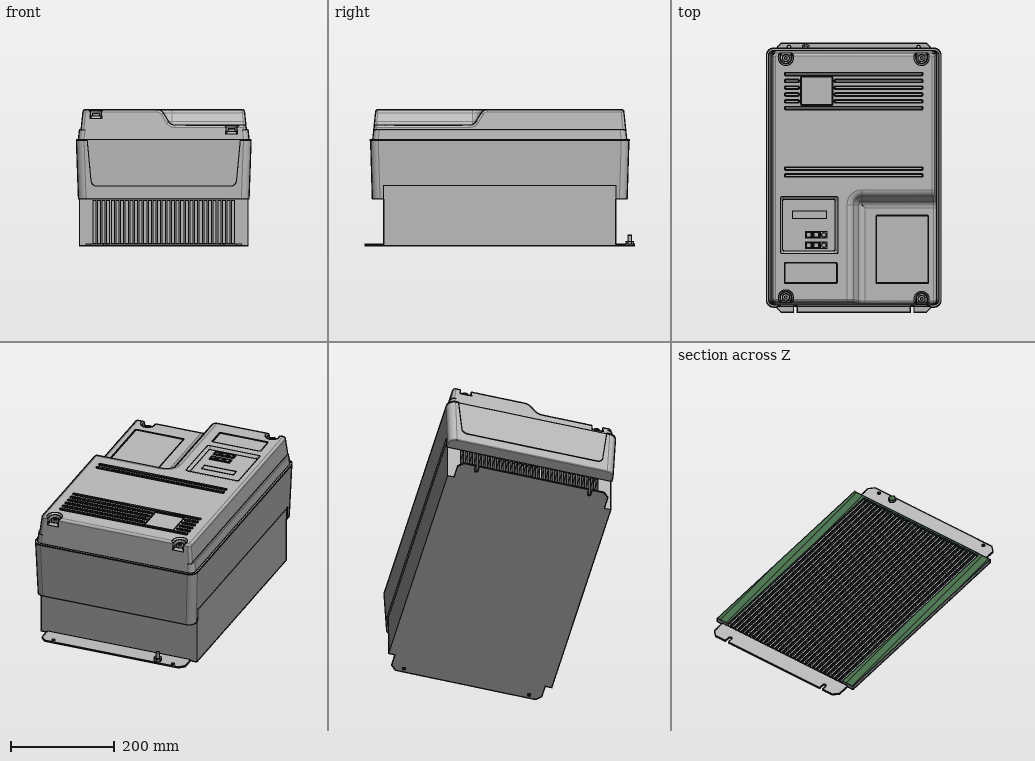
import cadquery as cq
import math


PLATE_LENGTH = 520.0
PLATE_WIDTH = 300.0
PLATE_THICKNESS = 3.0
PLATE_CHAMFER = 10.0
MOUNT_SLOT_X = 112.8
MOUNT_SLOT_WIDTH = 7.0
MOUNT_SLOT_DEPTH = 14.0
MOUNT_HOLE_X = 125.0
MOUNT_HOLE_Y = 252.3
MOUNT_HOLE_DIAMETER = 6.0
STUD_X = -92.7
STUD_Y = 251.0
STUD_DIAMETER = 7.0
STUD_TOP = 20.5
STUD_NUT_FLATS = 13.0
STUD_NUT_HEIGHT = 5.5

SINK_WIDTH = 326.0
SINK_LENGTH = 448.0
SINK_TOP = 116.5
FIN_SLOT_COUNT = 31
FIN_SLOT_WIDTH = 5.9
FIN_SLOT_SPAN = 274.0
FIN_SLOT_BOTTOM = 4.5
FIN_SLOT_TOP = 87.3
FIN_SLOT_END_WALL = 5.0

BASE_BOTTOM = 90.0
BASE_TOP = 205.0
BASE_BOTTOM_SIZE = (329.8, 492.3)
BASE_TOP_SIZE = (337.91, 499.4)
BASE_CORNER_RADIUS = 15.0
BASE_BOTTOM_FILLET = 1.5
RIM_SIZE = (BASE_TOP_SIZE[0], 501.0)
RIM_HEIGHT = 1.5
END_PANEL_TOP_WIDTH = 296.0
END_PANEL_BOTTOM_WIDTH = 279.0
END_PANEL_BOTTOM = 115.0
END_PANEL_RADIUS = 12.0
END_PANEL_DEPTH = 1.0

TOTAL_HEIGHT = 263.0
STEP_Z = 225.0
DRAFT = 6.0
COVER_WIDTH = 330.0
COVER_LENGTH = 491.0
STEP_LEDGE = 3.2
STEP_FILLET = 1.5
LOWER_COVER_RADIUS = 11.0
UPPER_COVER_RADIUS = 5.5
COVER_EDGE_FILLET = 5.0

SUNKEN_DROP = 30.0
SUNKEN_EDGE_X = -13.0
SUNKEN_EDGE_Y = -23.5
SUNKEN_CORNER_RADIUS = 29.0
SLOPE_RADIUS = 14.5
SLOPE_ANGLE = 58.0

VENT_HALF_LENGTH = 134.0
VENT_WIDTH = 6.8
VENT_DEPTH = 1.5
VENT_TAPER = 45.0
VENT_PITCH = 13.1
UPPER_VENT_Y = 199.9
UPPER_VENT_COUNT = 6
LOWER_VENT_Y = 17.6
LOWER_VENT_COUNT = 2
BADGE_BOX = (-102.4, 139.6, -40.5, 196.0)
BADGE_VENT_GAP = 2.6
LABEL_BOX = (-134.0, -204.3, -31.8, -163.7)
SUNKEN_LABEL_BOX = (42.6, -204.3, 144.6, -72.5)
LABEL_CORNER_RADIUS = 3.0
LABEL_DEPTH = 1.0
LABEL_TAPER = 55.0

KEYPAD_BOX = (-141.0, -146.7, -30.5, -36.3)
KEYPAD_FLOOR_BOX = (-137.2, -141.3, -36.3, -41.8)
KEYPAD_DEPTH = 5.0
KEYPAD_CORNER_RADIUS = 3.0
DISPLAY_BOX = (-118.7, -79.0, -52.5, -64.0)
DISPLAY_DEPTH = 0.5
KEY_COLUMNS_X = (-87.1, -72.4, -57.7)
KEY_ROWS_Y = (-110.5, -130.5)
KEY_SIZE = (13.0, 12.5)
KEY_HEIGHT = 1.0
KEY_CAP_SIZE = 8.5
KEY_CAP_HEIGHT = 1.0

SCREW_X = 131.0
SCREW_Y = 231.0
SCREW_SEAT_DEPTH = 12.0
NOTCH_RIM_RADIUS = 14.5
NOTCH_WALL_RADIUS = 11.3
NOTCH_SEAT_RADIUS = 10.3
CHUTE_OFFSET = 5.5
CHUTE_SEAT_WIDTH = 15.0
CHUTE_MOUTH_WIDTH = 24.0
CHUTE_DROP = 5.3
CHUTE_LENGTH = 5.0
CHUTE_HEADROOM = 2.7
SCREW_HEAD_DIAMETER = 14.0
SCREW_HEAD_HEIGHT = 5.0
SCREW_HEAD_FILLET = 1.2
SCREW_SOCKET_FLATS = 5.0
SCREW_SOCKET_DEPTH = 2.5

OVERCUT = 20.0
SUNKEN_Z = TOTAL_HEIGHT - SUNKEN_DROP


def draft_inset(height):
    """Inward shift of a drafted cover wall over the given height."""
    return height * math.tan(math.radians(DRAFT))


def rounded_outline(size, radius):
    return cq.Sketch().rect(*size).vertices().fillet(radius)


def rounded_block(bottom_size, top_size, z_bottom, z_top, radius):
    """Drafted block whose corner radius is the same at the bottom and the top."""
    bottom = rounded_outline(bottom_size, radius)
    top = rounded_outline(top_size, radius).moved(cq.Location((0, 0, z_top - z_bottom)))
    return cq.Workplane("XY", origin=(0, 0, z_bottom)).placeSketch(bottom, top).loft(ruled=True)


def box_between(x_min, x_max, y_min, y_max, z_min, z_max):
    size = (x_max - x_min, y_max - y_min, z_max - z_min)
    return cq.Workplane("XY", origin=(x_min, y_min, z_min)).box(*size, centered=False)


def box_centre(box):
    x_min, y_min, x_max, y_max = box
    return ((x_min + x_max) / 2, (y_min + y_max) / 2)


def box_size(box):
    x_min, y_min, x_max, y_max = box
    return (x_max - x_min, y_max - y_min)


def make_plate():
    plate = (
        cq.Workplane("XY")
        .rect(PLATE_WIDTH, PLATE_LENGTH)
        .extrude(PLATE_THICKNESS)
        .edges("|Z")
        .chamfer(PLATE_CHAMFER)
    )
    mount_slots = (
        cq.Workplane("XY", origin=(0, -PLATE_LENGTH / 2, 0))
        .pushPoints([(-MOUNT_SLOT_X, 0), (MOUNT_SLOT_X, 0)])
        .slot2D(2 * MOUNT_SLOT_DEPTH, MOUNT_SLOT_WIDTH, 90)
        .extrude(PLATE_THICKNESS)
    )
    mount_holes = (
        cq.Workplane("XY")
        .pushPoints([(-MOUNT_HOLE_X, MOUNT_HOLE_Y), (MOUNT_HOLE_X, MOUNT_HOLE_Y)])
        .circle(MOUNT_HOLE_DIAMETER / 2)
        .extrude(PLATE_THICKNESS)
    )
    return plate.cut(mount_slots).cut(mount_holes)


def make_earth_stud():
    base = cq.Workplane("XY", origin=(STUD_X, STUD_Y, PLATE_THICKNESS))
    nut = base.polygon(6, STUD_NUT_FLATS, circumscribed=True).extrude(STUD_NUT_HEIGHT)
    shank = base.circle(STUD_DIAMETER / 2).extrude(STUD_TOP - PLATE_THICKNESS)
    return nut.union(shank)


def make_heatsink():
    """Finned block; the air slots are open at the -Y end and closed by a wall at the +Y end."""
    block = cq.Workplane("XY").rect(SINK_WIDTH, SINK_LENGTH).extrude(SINK_TOP)
    pitch = (FIN_SLOT_SPAN - FIN_SLOT_WIDTH) / (FIN_SLOT_COUNT - 1)
    fin_slots = (
        cq.Workplane("XY", origin=(0, -FIN_SLOT_END_WALL, FIN_SLOT_BOTTOM))
        .rarray(pitch, 1, FIN_SLOT_COUNT, 1)
        .rect(FIN_SLOT_WIDTH, SINK_LENGTH)
        .extrude(FIN_SLOT_TOP - FIN_SLOT_BOTTOM)
    )
    return block.cut(fin_slots)


def make_end_panel_recess():
    """Recess cut into the -Y end of the base and its rim, its floor parallel to the drafted end wall."""
    lean = (BASE_TOP_SIZE[1] - BASE_BOTTOM_SIZE[1]) / 2
    wall_angle = math.degrees(math.atan2(lean, BASE_TOP - BASE_BOTTOM))
    wall = cq.Plane(origin=(0, -BASE_BOTTOM_SIZE[1] / 2, BASE_BOTTOM), xDir=(1, 0, 0), normal=(0, -1, 0))
    wall = wall.rotated((wall_angle, 0, 0))
    rim_overhang = RIM_SIZE[1] - BASE_TOP_SIZE[1]
    bottom = END_PANEL_BOTTOM - BASE_BOTTOM
    top = math.hypot(lean, BASE_TOP - BASE_BOTTOM) + END_PANEL_DEPTH
    corners = [
        (-END_PANEL_TOP_WIDTH / 2, top),
        (-END_PANEL_BOTTOM_WIDTH / 2, bottom),
        (END_PANEL_BOTTOM_WIDTH / 2, bottom),
        (END_PANEL_TOP_WIDTH / 2, top),
    ]
    slab = (
        cq.Workplane(wall)
        .workplane(offset=-END_PANEL_DEPTH)
        .polyline(corners)
        .close()
        .extrude(END_PANEL_DEPTH + rim_overhang)
    )
    lower_corners = slab.faces("<Z").edges("not |X")
    return lower_corners.fillet(END_PANEL_RADIUS)


def make_base():
    base = rounded_block(BASE_BOTTOM_SIZE, BASE_TOP_SIZE, BASE_BOTTOM, BASE_TOP, BASE_CORNER_RADIUS)
    base = base.faces("<Z").edges().fillet(BASE_BOTTOM_FILLET)
    base = base.cut(make_end_panel_recess())
    for side in (-1, 1):
        notch = cq.Workplane("XY", origin=(side * (SINK_WIDTH / 2 + OVERCUT / 2), 0, 0))
        base = base.cut(notch.rect(OVERCUT, SINK_LENGTH).extrude(SINK_TOP))
    rim = rounded_block(RIM_SIZE, RIM_SIZE, BASE_TOP - RIM_HEIGHT, BASE_TOP, BASE_CORNER_RADIUS)
    return base.union(rim.cut(make_end_panel_recess()))


def make_lower_cover():
    inset = draft_inset(STEP_Z - BASE_TOP)
    top_size = (COVER_WIDTH - 2 * inset, COVER_LENGTH - 2 * inset)
    cover = rounded_block((COVER_WIDTH, COVER_LENGTH), top_size, BASE_TOP, STEP_Z, LOWER_COVER_RADIUS)
    return cover.faces(">Z").edges().fillet(STEP_FILLET)


def arc_offset(angle):
    """Run and fall along a slope arc from its level end to the given angle."""
    return SLOPE_RADIUS * math.sin(angle), SLOPE_RADIUS * (1 - math.cos(angle))


def slope_run():
    """Horizontal distance across the S-shaped slope."""
    angle = math.radians(SLOPE_ANGLE)
    arc_run, arc_fall = arc_offset(angle)
    return 2 * arc_run + (SUNKEN_DROP - 2 * arc_fall) / math.tan(angle)


def slope_profile(plane, reach):
    """Closed region above the slope, from its crest at the plane origin out to the given reach."""
    steepest = math.radians(SLOPE_ANGLE)
    run = slope_run()
    toe_angle = math.asin(max(run - reach, 0) / SLOPE_RADIUS)

    def crest(angle):
        along, fall = arc_offset(angle)
        return (along, -fall)

    def toe(angle):
        along, rise = arc_offset(angle)
        return (run - along, rise - SUNKEN_DROP)

    profile = (
        cq.Workplane(plane)
        .threePointArc(crest(steepest / 2), crest(steepest))
        .lineTo(*toe(steepest))
        .threePointArc(toe((steepest + toe_angle) / 2), toe(toe_angle))
    )
    if reach > run:
        profile = profile.lineTo(reach, -SUNKEN_DROP)
    return profile.lineTo(reach, OVERCUT).lineTo(0, OVERCUT).close()


def make_sunken_cutter():
    """Space over the sunken corner: two straight slopes joined by a swept round corner."""
    reach_x = COVER_WIDTH / 2 - SUNKEN_EDGE_X
    reach_y = COVER_LENGTH / 2 + SUNKEN_EDGE_Y
    corner = (SUNKEN_EDGE_X, SUNKEN_EDGE_Y, TOTAL_HEIGHT)
    facing_front = cq.Plane(origin=corner, xDir=(1, 0, 0), normal=(0, -1, 0))
    facing_left = cq.Plane(origin=corner, xDir=(0, -1, 0), normal=(-1, 0, 0))
    west_slope = slope_profile(facing_front, reach_x).extrude(reach_y)
    north_slope = slope_profile(facing_left, reach_y).extrude(-reach_x)

    axis_x = SUNKEN_EDGE_X + SUNKEN_CORNER_RADIUS
    axis_y = SUNKEN_EDGE_Y - SUNKEN_CORNER_RADIUS
    corner_block = box_between(
        SUNKEN_EDGE_X, axis_x, axis_y, SUNKEN_EDGE_Y, SUNKEN_Z - OVERCUT, TOTAL_HEIGHT + OVERCUT
    )
    sweep_start = cq.Plane(origin=(SUNKEN_EDGE_X, axis_y, TOTAL_HEIGHT), xDir=(1, 0, 0), normal=(0, -1, 0))
    round_corner = slope_profile(sweep_start, SUNKEN_CORNER_RADIUS).revolve(
        90, (SUNKEN_CORNER_RADIUS, 1), (SUNKEN_CORNER_RADIUS, 0)
    )
    return west_slope.intersect(north_slope).cut(corner_block).union(round_corner)


def cover_top_edges(cover):
    """Outer edges of the cover's top surfaces, leaving out its bottom and upright corner edges."""
    edges = []
    for edge in cover.edges().vals():
        centre = edge.Center()
        inset = STEP_LEDGE + draft_inset(centre.z - BASE_TOP)
        at_side = abs(centre.x) > COVER_WIDTH / 2 - inset - UPPER_COVER_RADIUS / 2
        at_end = abs(centre.y) > COVER_LENGTH / 2 - inset + STEP_LEDGE - UPPER_COVER_RADIUS / 2
        above_step = edge.BoundingBox().zmin > STEP_Z
        if above_step and (at_side or at_end):
            edges.append(edge)
    return edges


def make_upper_cover():
    """Upper cover, reaching down past the rounded step so that its ends stay flush with the lower cover."""
    bottom_z = STEP_Z - STEP_FILLET
    low = draft_inset(bottom_z - BASE_TOP)
    high = draft_inset(TOTAL_HEIGHT - BASE_TOP)
    bottom_size = (COVER_WIDTH - 2 * (STEP_LEDGE + low), COVER_LENGTH - 2 * low)
    top_size = (COVER_WIDTH - 2 * (STEP_LEDGE + high), COVER_LENGTH - 2 * high)
    cover = rounded_block(bottom_size, top_size, bottom_z, TOTAL_HEIGHT, UPPER_COVER_RADIUS)
    cover = cover.cut(make_sunken_cutter())
    return cover.newObject(cover_top_edges(cover)).fillet(COVER_EDGE_FILLET)


def make_vents():
    """Tapered round-ended grooves; those beside the badge are interrupted by it."""
    badge_left = BADGE_BOX[0] - BADGE_VENT_GAP
    badge_right = BADGE_BOX[2] + BADGE_VENT_GAP
    full = [(-VENT_HALF_LENGTH, VENT_HALF_LENGTH)]
    split = [(-VENT_HALF_LENGTH, badge_left), (badge_right, VENT_HALF_LENGTH)]
    rows = []
    for index in range(UPPER_VENT_COUNT):
        beside_badge = 0 < index < UPPER_VENT_COUNT - 1
        rows.append((UPPER_VENT_Y - index * VENT_PITCH, split if beside_badge else full))
    for index in range(LOWER_VENT_COUNT):
        rows.append((LOWER_VENT_Y - index * VENT_PITCH, full))

    vents = cq.Workplane("XY")
    for y, spans in rows:
        for left, right in spans:
            vent = (
                cq.Workplane("XY", origin=((left + right) / 2, y, TOTAL_HEIGHT))
                .slot2D(right - left, VENT_WIDTH)
                .extrude(-VENT_DEPTH, taper=VENT_TAPER)
            )
            vents = vents.add(vent)
    return vents


def make_label_recess(box, surface_z):
    outline = rounded_outline(box_size(box), LABEL_CORNER_RADIUS)
    x, y = box_centre(box)
    return (
        cq.Workplane("XY", origin=(x, y, surface_z))
        .placeSketch(outline)
        .extrude(-LABEL_DEPTH, taper=LABEL_TAPER)
    )


def make_keypad_recess():
    """Sloping-walled recess for the keypad with the display window sunk into its floor."""
    x, y = box_centre(KEYPAD_BOX)
    floor_x, floor_y = box_centre(KEYPAD_FLOOR_BOX)
    to_floor = cq.Location((floor_x - x, floor_y - y, -KEYPAD_DEPTH))
    rim = rounded_outline(box_size(KEYPAD_BOX), KEYPAD_CORNER_RADIUS)
    floor = rounded_outline(box_size(KEYPAD_FLOOR_BOX), KEYPAD_CORNER_RADIUS)
    recess = (
        cq.Workplane("XY", origin=(x, y, TOTAL_HEIGHT))
        .placeSketch(rim, floor.moved(to_floor))
        .loft(ruled=True)
    )
    display_x, display_y = box_centre(DISPLAY_BOX)
    display = (
        cq.Workplane("XY", origin=(display_x, display_y, TOTAL_HEIGHT - KEYPAD_DEPTH))
        .rect(*box_size(DISPLAY_BOX))
        .extrude(-DISPLAY_DEPTH)
    )
    return recess.union(display)


def make_keys():
    """Two rows of raised keys; the last column has round caps, the others square ones."""
    keys = cq.Workplane("XY")
    floor_z = TOTAL_HEIGHT - KEYPAD_DEPTH
    for x in KEY_COLUMNS_X:
        for y in KEY_ROWS_Y:
            key = cq.Workplane("XY", origin=(x, y, floor_z)).rect(*KEY_SIZE).extrude(KEY_HEIGHT)
            cap = cq.Workplane("XY", origin=(x, y, floor_z + KEY_HEIGHT))
            if x == KEY_COLUMNS_X[-1]:
                cap = cap.circle(KEY_CAP_SIZE / 2)
            else:
                cap = cap.rect(KEY_CAP_SIZE, KEY_CAP_SIZE)
            keys = keys.add(key.union(cap.extrude(KEY_CAP_HEIGHT)))
    return keys


def notch_solid(radius, depth, end_radius):
    """U-shaped pocket open towards -Y, narrowing evenly to the end radius at its depth."""
    taper = math.degrees(math.atan((radius - end_radius) / depth))
    return (
        cq.Workplane("XY")
        .moveTo(-radius, 0)
        .threePointArc((0, radius), (radius, 0))
        .lineTo(radius, -OVERCUT)
        .lineTo(-radius, -OVERCUT)
        .close()
        .extrude(-depth, taper=taper)
    )


def make_screw_notch():
    """Notch around a screw at the origin, with a bevelled rim and a chute at its -Y mouth."""
    bevel = notch_solid(NOTCH_RIM_RADIUS, NOTCH_RIM_RADIUS - NOTCH_WALL_RADIUS, NOTCH_WALL_RADIUS)
    notch = notch_solid(NOTCH_WALL_RADIUS, SCREW_SEAT_DEPTH, NOTCH_SEAT_RADIUS).union(bevel)
    start_plane = cq.Plane(origin=(0, -CHUTE_OFFSET, -SCREW_SEAT_DEPTH), xDir=(1, 0, 0), normal=(0, -1, 0))
    chute = (
        cq.Workplane(start_plane)
        .rect(CHUTE_SEAT_WIDTH, CHUTE_HEADROOM, centered=(True, False))
        .workplane(offset=CHUTE_LENGTH)
        .center(0, -CHUTE_DROP)
        .rect(CHUTE_MOUTH_WIDTH, CHUTE_HEADROOM + CHUTE_DROP, centered=(True, False))
        .loft(ruled=True)
    )
    return notch.union(chute)


def make_screw_head():
    head = (
        cq.Workplane("XY", origin=(0, 0, -SCREW_SEAT_DEPTH))
        .circle(SCREW_HEAD_DIAMETER / 2)
        .extrude(SCREW_HEAD_HEIGHT)
        .faces(">Z")
        .edges()
        .fillet(SCREW_HEAD_FILLET)
    )
    socket = (
        cq.Workplane("XY", origin=(0, 0, SCREW_HEAD_HEIGHT - SCREW_SEAT_DEPTH))
        .polygon(6, SCREW_SOCKET_FLATS, circumscribed=True)
        .extrude(-SCREW_SOCKET_DEPTH)
    )
    return head.cut(socket)


def place_at_screws(shape):
    """Copies of a shape at the four screws, turned to face the nearer end of the cover."""
    copies = cq.Workplane("XY")
    for side in (-1, 1):
        for end in (-1, 1):
            sunken = side > 0 and end < 0
            drop = SUNKEN_DROP if sunken else 0
            y = end * (SCREW_Y + draft_inset(drop))
            turned = shape if end < 0 else shape.rotate((0, 0, 0), (0, 0, 1), 180)
            copies = copies.add(turned.translate((side * SCREW_X, y, TOTAL_HEIGHT - drop)))
    return copies


def cut_all(body, cutters):
    return body.cut(cq.Workplane(cq.Compound.makeCompound(cutters.vals())))


def join_all(body, parts):
    for part in parts.vals():
        body = body.union(cq.Workplane(part))
    return body


def make_cover():
    cover = make_upper_cover().union(make_lower_cover())
    cover = cut_all(cover, make_vents())
    cover = cover.cut(make_label_recess(BADGE_BOX, TOTAL_HEIGHT))
    cover = cover.cut(make_label_recess(LABEL_BOX, TOTAL_HEIGHT))
    cover = cover.cut(make_label_recess(SUNKEN_LABEL_BOX, SUNKEN_Z))
    cover = cover.cut(make_keypad_recess())
    cover = join_all(cover, make_keys())
    cover = cut_all(cover, place_at_screws(make_screw_notch()))
    return join_all(cover, place_at_screws(make_screw_head()))


result = (
    make_heatsink()
    .union(make_plate())
    .union(make_earth_stud())
    .union(make_base())
    .union(make_cover())
)